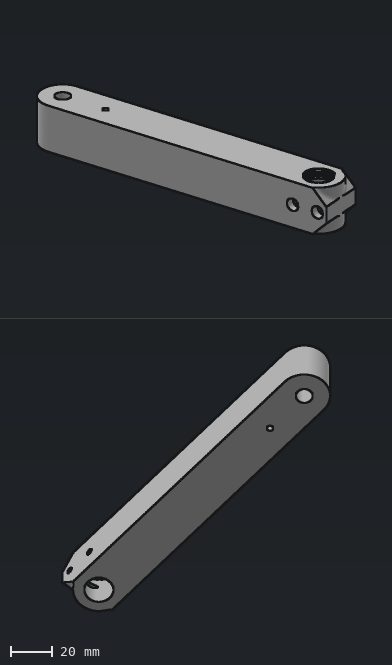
import cadquery as cq

length = 175.0
width = 25.0
height = 25.0
half_width = width / 2
half_height = height / 2
bore_x = length - width
end_x = bore_x + half_width

pivot_diameter = 8.1
pin_diameter = 3.0
pin_x = 25.0

head_radius = half_width
lug_chamfer = 8.0
lug_fillet = 2.0

minor_diameter = 14.0
major_diameter = 16.2
pitch = 2.0
thread_turns = 3
groove_mouth = 0.88 * pitch
groove_root = pitch / 5
groove_overlap = 0.1
groove_exit_angle = 180.0

screw_offset = 7.25
screw_diameter = 3.1
screw_head_diameter = 6.5
screw_head_depth = 5.0


def make_bar():
    return (
        cq.Workplane("XY", origin=(0, 0, -half_height))
        .moveTo(0, half_width)
        .lineTo(end_x, half_width)
        .lineTo(end_x, -half_width)
        .lineTo(0, -half_width)
        .threePointArc((-half_width, 0), (0, half_width))
        .close()
        .extrude(height)
    )


def make_lug_cutter(side):
    """45 degree wedge around the round head, blended where they meet (side: 1 top, -1 bottom)."""
    margin = width
    wedge_size = lug_chamfer + 2 * margin
    outer_x = end_x + margin
    outer_z = half_height + margin
    wedge = (
        cq.Workplane("XZ", origin=(0, margin, 0))
        .moveTo(outer_x - wedge_size, side * outer_z)
        .lineTo(outer_x, side * (outer_z - wedge_size))
        .lineTo(outer_x, side * outer_z)
        .close()
        .extrude(2 * margin)
    )
    head = (
        cq.Workplane("XY", origin=(bore_x, 0, -outer_z))
        .circle(head_radius)
        .extrude(2 * outer_z)
    )
    slope = cq.Vector(1, 0, side)
    return (
        wedge.cut(head)
        .faces(cq.selectors.DirectionMinMaxSelector(slope, False))
        .edges("%ELLIPSE")
        .fillet(lug_fillet)
    )


def make_z_hole(x, diameter):
    """Through hole whose seam line faces +Y, clear of the ends of the thread groove."""
    bottom = cq.Plane(origin=(x, 0, -half_height), xDir=(0, 1, 0), normal=(0, 0, 1))
    return (
        cq.Workplane(bottom)
        .circle(diameter / 2)
        .extrude(height)
    )


def make_thread_groove():
    """Helical groove that rises through the top face by one spare turn."""
    inner_radius = minor_diameter / 2 - groove_overlap
    outer_radius = major_diameter / 2
    helix = cq.Wire.makeHelix(pitch, (thread_turns + 1) * pitch, outer_radius)
    groove = (
        cq.Workplane("XZ")
        .moveTo(inner_radius, -groove_mouth / 2)
        .lineTo(outer_radius, -groove_root / 2)
        .lineTo(outer_radius, groove_root / 2)
        .lineTo(inner_radius, groove_mouth / 2)
        .close()
        .sweep(cq.Workplane(helix), isFrenet=True)
    )
    start_z = half_height - thread_turns * pitch
    return (
        groove.rotate((0, 0, 0), (0, 0, 1), groove_exit_angle)
        .translate((bore_x, 0, start_z))
    )


def make_screw_hole(x):
    shank = (
        cq.Workplane("XZ", origin=(x, half_width, 0))
        .circle(screw_diameter / 2)
        .extrude(width)
    )
    head = (
        cq.Workplane("XZ", origin=(x, -half_width + screw_head_depth, 0))
        .circle(screw_head_diameter / 2)
        .extrude(screw_head_depth)
    )
    return shank.union(head)


result = make_bar()
for side in (1, -1):
    result = result.cut(make_lug_cutter(side))

result = result.cut(make_z_hole(0, pivot_diameter))
result = result.cut(make_z_hole(pin_x, pin_diameter))

result = result.cut(make_z_hole(bore_x, minor_diameter))
result = result.cut(make_thread_groove())

for direction in (-1, 1):
    result = result.cut(make_screw_hole(bore_x + direction * screw_offset))